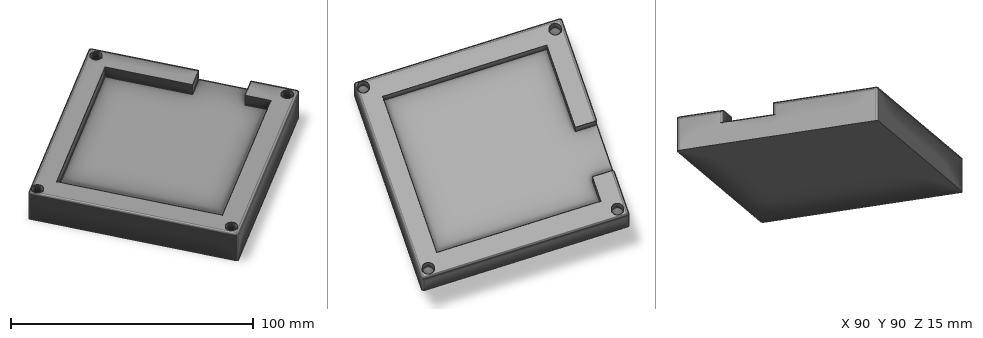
import cadquery as cq

side = 90.0
height = 15.0
edge_radius = 1.0

pocket_side = 71.2
pocket_depth = 5.6
opening_left = 2.0
opening_right = 24.5

hole_diameter = 5.0
hole_depth = pocket_depth
hole_inset = 4.0
front_left_hole_inset = 3.1

half_side = side / 2
floor_height = height - pocket_depth


def block():
    """Square block standing on the XY plane."""
    return cq.Workplane("XY").box(side, side, height, centered=(True, True, False))


def pocket():
    """Square recess cut down from the top face."""
    return (
        cq.Workplane("XY", origin=(0, 0, floor_height))
        .rect(pocket_side, pocket_side)
        .extrude(pocket_depth)
    )


def rear_opening():
    """Gap through the rear wall, level with the pocket floor."""
    width = opening_right - opening_left
    return (
        cq.Workplane("XY", origin=(opening_left, 0, floor_height))
        .rect(width, half_side, centered=False)
        .extrude(pocket_depth)
    )


def corner_holes():
    """Four blind holes; the front-left one sits closer to its corner."""
    offset = half_side - hole_inset
    front_left_offset = half_side - front_left_hole_inset
    centers = [
        (offset, offset),
        (-offset, offset),
        (offset, -offset),
        (-front_left_offset, -front_left_offset),
    ]
    return (
        cq.Workplane("XY", origin=(0, 0, height - hole_depth))
        .pushPoints(centers)
        .circle(hole_diameter / 2)
        .extrude(hole_depth)
    )


def round_outer_edges(body):
    """Round the upright and top edges of the outer walls, rear opening included."""
    outer_walls = body.faces("<X or >X or <Y or >Y")
    return outer_walls.edges("|Z or >Z").fillet(edge_radius)


open_tray = block().cut(pocket()).cut(rear_opening())
result = round_outer_edges(open_tray).cut(corner_holes())